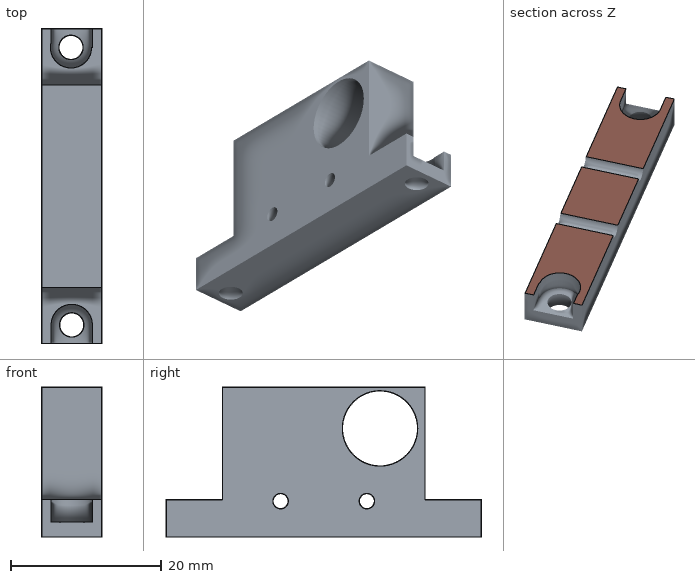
import cadquery as cq

width = 8.0
base_length = 42.0
base_height = 5.0

total_height = 20.0
block_length = 27.0

bore_diameter = 10.0
bore_edge_wall = 1.0
bore_y = block_length / 2 - bore_edge_wall - bore_diameter / 2
bore_z = 14.5

pin_diameter = 2.0
pin_spacing = 11.5
pin_z = 4.8

screw_diameter = 3.2
head_diameter = 5.5
seat_floor_z = 2.0
screw_end_distance = 2.5
screw_y = base_length / 2 - screw_end_distance
front_screw_x = 0.0
rear_screw_x = -0.1


def make_body():
    """Base bar with the upright block on top of it."""
    base = cq.Workplane("XY").box(width, base_length, base_height, centered=(True, True, False))
    block = cq.Workplane("XY").box(width, block_length, total_height, centered=(True, True, False))
    return base.union(block)


def cross_hole(diameter, y, z):
    """Cutter for a round hole running along X through the full width."""
    return (
        cq.Workplane("YZ", origin=(-width / 2, y, z))
        .circle(diameter / 2)
        .extrude(width)
    )


def screw_seat(x, side):
    """Cutter for a counterbored screw hole whose seat opens through the end face.

    side is +1 for the +Y end and -1 for the -Y end.
    """
    seat_depth = base_height - seat_floor_z
    through_hole = cq.Workplane("XY").center(x, side * screw_y).circle(screw_diameter / 2).extrude(base_height)
    head_seat = (
        cq.Workplane("XY", origin=(x, side * screw_y, seat_floor_z))
        .circle(head_diameter / 2)
        .extrude(seat_depth)
    )
    slot_center_y = side * (screw_y + screw_end_distance / 2)
    end_slot = (
        cq.Workplane("XY", origin=(0, slot_center_y, seat_floor_z))
        .rect(head_diameter, screw_end_distance)
        .extrude(seat_depth)
    )
    return through_hole.union(head_seat).union(end_slot)


result = make_body().cut(cross_hole(bore_diameter, bore_y, bore_z))

for pin_y in (-pin_spacing / 2, pin_spacing / 2):
    result = result.cut(cross_hole(pin_diameter, pin_y, pin_z))

for screw_x, end_side in ((front_screw_x, -1), (rear_screw_x, 1)):
    result = result.cut(screw_seat(screw_x, end_side))